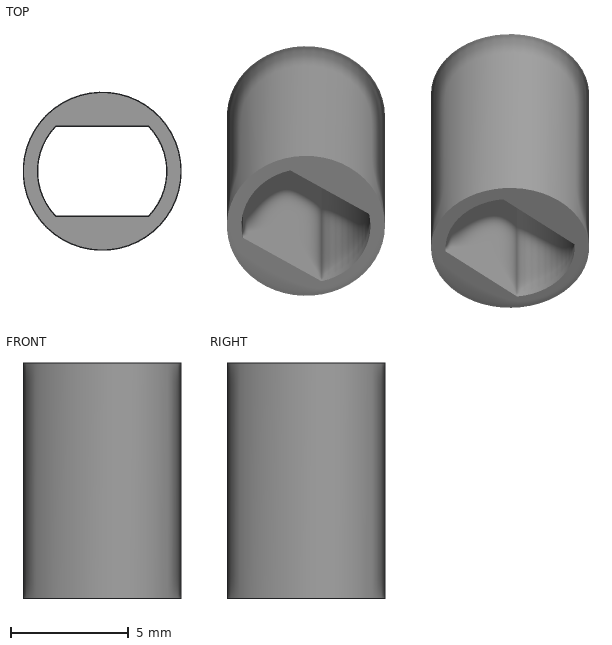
import cadquery as cq

height = 10.0
outer_diameter = 6.7
bore_diameter = 5.47
flat_spacing = 3.8


def double_flat_bore():
    """Through-bore: a cylinder trimmed by two flats parallel to X."""
    cylinder = cq.Workplane("XY").circle(bore_diameter / 2).extrude(height)
    slab = cq.Workplane("XY").rect(bore_diameter, flat_spacing).extrude(height)
    return cylinder.intersect(slab)


sleeve = cq.Workplane("XY").circle(outer_diameter / 2).extrude(height)
result = sleeve.cut(double_flat_bore())